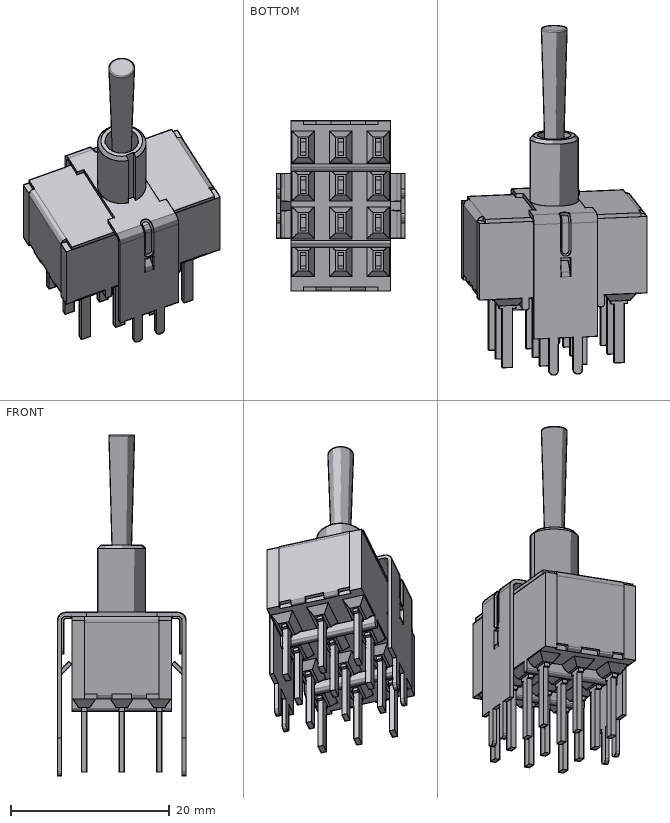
import cadquery as cq
import math

TOTAL_HEIGHT = 43.15

SHEET = 0.5

CASE_X = 12.6
CASE_Y = 21.6
BASE_BOTTOM = 9.7
CASE_TOP = 20.2
BASE_TOP = CASE_TOP - SHEET
FLAP_X = 9.4
FLAP_BOTTOM = 10.35
FLAP_BEND_RADIUS = 0.78
FOOT_INNER_X = 1.25
FOOT_OUTER_X = 3.15
FOOT_ROUND = SHEET - 0.05

RIB_Y = 4.85
RIB_THICKNESS = 0.9
RIB_BOTTOM = 8.15
RIB_ROUND = 0.4

PIN_PITCH_X = 4.75
PIN_PITCH_Y = 4.8
PIN_ROWS = 4
PIN_ROW_SHIFT = -0.25
PIN_X = 0.7
PIN_Y = 1.3
PIN_BOTTOM = 0.47
SHOULDER_Y = 2.1
SHOULDER_BOTTOM = RIB_BOTTOM
MOUND_TOP_X = 2.85
MOUND_FOOT_X = 1.4
MOUND_TOP_Y = 4.05
MOUND_FOOT_Y = 2.6
MOUND_BOTTOM = 8.65

BRACKET_X = 16.25
BRACKET_Y = 8.2
BRACKET_TOP = CASE_TOP + SHEET
BEND_RADIUS = 2 * SHEET
WAIST_X = 8.98
WAIST_Y = 6.35
LEG_BOTTOM = 4.8
TAB_Y = 1.55
TAB_WIDTH = 1.15

GROOVE_WIDTH = 1.3
GROOVE_DEPTH = 0.3
GROOVE_CHAMFER = 0.2
GROOVE_BOTTOM = 15.4
GROOVE_INNER_X = 6.4

WINDOW_WIDTH = GROOVE_WIDTH
WINDOW_BOTTOM = 12.75
WINDOW_TOP = 15.2
BARB_WIDTH = 1.12
BARB_BEND_RADIUS = 0.78
BARB_LENGTH = 1.73

BUSHING_RADIUS = 3.05
BUSHING_TOP = 29.2
BUSHING_CHAMFER = 0.45
BORE_RADIUS = 4.2 / 2
KEYWAY_WIDTH = 1.05
KEYWAY_FLOOR_X = 2.4

DOME_Z = 22.95
LEVER_NECK_RADIUS = 1.25
LEVER_TIP_RADIUS = 1.65
LEVER_TIP_ROUND = 0.17


def block(size_x, size_y, z_low, z_high, x=0, y=0):
    """Box centred on (x, y) between two heights."""
    return (
        cq.Workplane(origin=(x, y, z_low))
        .rect(size_x, size_y)
        .extrude(z_high - z_low)
    )


def cover_core(inset):
    """Solid filling the flaps and the plate between them, moved inward from the outer sheet face."""
    core = block(FLAP_X, CASE_Y - 2 * inset, FLAP_BOTTOM, CASE_TOP - inset)
    return core.faces(">Z").edges("|X").fillet(FLAP_BEND_RADIUS - inset)


def make_cover():
    """Top plate with a flap bent down over each end; the plate stops short at the four corners."""
    plate = block(CASE_X, CASE_Y - 2 * FLAP_BEND_RADIUS, BASE_TOP, CASE_TOP)
    cover = plate.union(cover_core(0).cut(cover_core(SHEET)))
    foot_width = FOOT_OUTER_X - FOOT_INNER_X
    foot_x = (FOOT_OUTER_X + FOOT_INNER_X) / 2
    for side_y in (-1, 1):
        outer_edge = "<Y" if side_y < 0 else ">Y"
        foot_y = side_y * (CASE_Y - SHEET) / 2
        for side_x in (-1, 1):
            foot = block(foot_width, SHEET, BASE_BOTTOM, FLAP_BOTTOM, side_x * foot_x, foot_y)
            cover = cover.union(foot.faces("<Z").edges(outer_edge).fillet(FOOT_ROUND))
    return cover


def make_rib(y):
    rib = block(CASE_X, RIB_THICKNESS, RIB_BOTTOM, BASE_BOTTOM, y=y)
    return rib.faces("<Z").edges("|X").fillet(RIB_ROUND)


def make_terminal(x, y):
    """Blade with a shoulder, coming out of a tapered mound under the base."""
    mound = (
        cq.Workplane(origin=(x, y, BASE_BOTTOM))
        .rect(MOUND_TOP_X, MOUND_TOP_Y)
        .workplane(offset=MOUND_BOTTOM - BASE_BOTTOM)
        .rect(MOUND_FOOT_X, MOUND_FOOT_Y)
        .loft(ruled=True)
    )
    shoulder = block(PIN_X, SHOULDER_Y, SHOULDER_BOTTOM, BASE_BOTTOM, x, y)
    blade = block(PIN_X, PIN_Y, PIN_BOTTOM, BASE_BOTTOM, x, y)
    return mound.union(shoulder).union(blade)


def make_base():
    """Molded base with pockets for the cover flaps, two ribs and the terminals."""
    base = block(CASE_X, CASE_Y, BASE_BOTTOM, BASE_TOP)
    for side in (-1, 1):
        base = base.cut(block(FLAP_X, SHEET, BASE_BOTTOM, BASE_TOP, y=side * (CASE_Y - SHEET) / 2))
        base = base.union(make_rib(side * RIB_Y))
    base = base.cut(make_cover())
    for row in range(PIN_ROWS):
        y = PIN_ROW_SHIFT + (row - (PIN_ROWS - 1) / 2) * PIN_PITCH_Y
        for column in (-1, 0, 1):
            base = base.union(make_terminal(column * PIN_PITCH_X, y))
    return base


def bracket_core(inset):
    """Solid filling the bracket outline in XZ, moved inward from the outer sheet face."""
    core = block(BRACKET_X - 2 * inset, BRACKET_Y, LEG_BOTTOM, BRACKET_TOP - inset)
    return core.faces(">Z").edges("|Y").fillet(BEND_RADIUS - inset)


def groove_area():
    """Volume over both grooves, with a round end on the leg and on the top plate."""
    radius = GROOVE_WIDTH / 2
    leg_end_z = GROOVE_BOTTOM + radius
    plate_end_x = GROOVE_INNER_X + radius
    along_leg = block(BRACKET_X, GROOVE_WIDTH, leg_end_z, BRACKET_TOP)
    round_leg_end = (
        cq.Workplane("YZ").center(0, leg_end_z).circle(radius).extrude(BRACKET_X / 2, both=True)
    )
    along_leg = along_leg.union(round_leg_end)
    opening = block(2 * plate_end_x, GROOVE_WIDTH, LEG_BOTTOM, BRACKET_TOP)
    round_plate_ends = (
        cq.Workplane(origin=(0, 0, LEG_BOTTOM))
        .pushPoints([(-plate_end_x, 0), (plate_end_x, 0)])
        .circle(radius)
        .extrude(BRACKET_TOP - LEG_BOTTOM)
    )
    return along_leg.cut(opening.cut(round_plate_ends))


def groove_floor_edges():
    """Selector for the edges around the groove floors, without the seams that cross them."""
    margin = 0.005
    half_x = BRACKET_X / 2 - GROOVE_DEPTH + margin
    floor_top = BRACKET_TOP - GROOVE_DEPTH + margin
    inside_floor = cq.selectors.BoxSelector(
        (-half_x, -BRACKET_Y, LEG_BOTTOM), (half_x, BRACKET_Y, floor_top), boundingbox=True
    )
    return inside_floor - cq.selectors.ParallelDirSelector(cq.Vector(0, 1, 0))


def make_barb():
    """Barb on the +X leg: a bend out of the leg, then a straight strip inward at 45 degrees."""
    outer_x = BRACKET_X / 2
    bend_x = outer_x - BARB_BEND_RADIUS
    half_turn = math.radians(22.5)
    full_turn = math.radians(45)

    def on_bend(radius, angle):
        return (bend_x + radius * math.cos(angle), WINDOW_BOTTOM + radius * math.sin(angle))

    def strip_end(radius):
        x, z = on_bend(radius, full_turn)
        reach = BARB_LENGTH * math.sqrt(0.5)
        return (x - reach, z + reach)

    inner_radius = BARB_BEND_RADIUS - SHEET
    return (
        cq.Workplane("XZ")
        .moveTo(outer_x, WINDOW_BOTTOM)
        .threePointArc(on_bend(BARB_BEND_RADIUS, half_turn), on_bend(BARB_BEND_RADIUS, full_turn))
        .lineTo(*strip_end(BARB_BEND_RADIUS))
        .lineTo(*strip_end(inner_radius))
        .lineTo(*on_bend(inner_radius, full_turn))
        .threePointArc(on_bend(inner_radius, half_turn), on_bend(inner_radius, 0))
        .close()
        .extrude(BARB_WIDTH / 2, both=True)
    )


def make_bracket():
    bracket = bracket_core(0).cut(bracket_core(SHEET))

    waist_cut_y = (BRACKET_Y - WAIST_Y) / 2
    for side in (-1, 1):
        y = side * (BRACKET_Y - waist_cut_y) / 2
        bracket = bracket.cut(block(WAIST_X, waist_cut_y, CASE_TOP, BRACKET_TOP, y=y))

    area = groove_area()
    groove = area.cut(bracket_core(GROOVE_DEPTH))
    groove = groove.edges(groove_floor_edges()).chamfer(GROOVE_CHAMFER)
    bump = area.intersect(bracket_core(SHEET)).cut(bracket_core(SHEET + GROOVE_DEPTH))
    bracket = bracket.union(bump).cut(groove)

    bracket = bracket.cut(block(BRACKET_X, WINDOW_WIDTH, WINDOW_BOTTOM, WINDOW_TOP))
    barb = make_barb()
    bracket = bracket.union(barb).union(barb.mirror("YZ"))

    tab_round = TAB_WIDTH / 2 - 0.05
    for side_x in (-1, 1):
        tab_x = side_x * (BRACKET_X - SHEET) / 2
        for side_y in (-1, 1):
            tab = block(SHEET, TAB_WIDTH, 0, LEG_BOTTOM, tab_x, side_y * TAB_Y)
            bracket = bracket.union(tab.faces("<Z").edges("|X").fillet(tab_round))
    return bracket


def make_bushing():
    """Tube with a chamfered mouth, a keyway on its +X side and a floor under the lever dome."""
    keyway_depth = BUSHING_RADIUS - KEYWAY_FLOOR_X
    keyway_x = KEYWAY_FLOOR_X + keyway_depth / 2
    keyway = block(keyway_depth, KEYWAY_WIDTH, BRACKET_TOP, BUSHING_TOP, keyway_x)
    bore = cq.Workplane(origin=(0, 0, DOME_Z)).circle(BORE_RADIUS).extrude(BUSHING_TOP - DOME_Z)
    return (
        cq.Workplane(origin=(0, 0, BRACKET_TOP))
        .circle(BUSHING_RADIUS)
        .extrude(BUSHING_TOP - BRACKET_TOP)
        .faces(">Z")
        .chamfer(BUSHING_CHAMFER)
        .cut(keyway)
        .cut(bore)
    )


def make_lever():
    """Tapered handle, widest at the tip, rising from a dome that fills the bore floor."""
    taper = (LEVER_TIP_RADIUS - LEVER_NECK_RADIUS) / (TOTAL_HEIGHT - BUSHING_TOP)
    root_radius = LEVER_NECK_RADIUS - taper * (BUSHING_TOP - DOME_Z)
    arc_middle = BORE_RADIUS * math.sqrt(0.5)
    dome = (
        cq.Workplane("XZ")
        .moveTo(0, DOME_Z)
        .lineTo(BORE_RADIUS, DOME_Z)
        .threePointArc((arc_middle, DOME_Z + arc_middle), (0, DOME_Z + BORE_RADIUS))
        .close()
        .revolve(360, (0, 0, 0), (0, 1, 0))
    )
    handle = (
        cq.Workplane("XZ")
        .moveTo(0, DOME_Z)
        .lineTo(root_radius, DOME_Z)
        .lineTo(LEVER_TIP_RADIUS, TOTAL_HEIGHT)
        .lineTo(0, TOTAL_HEIGHT)
        .close()
        .revolve(360, (0, 0, 0), (0, 1, 0))
        .faces(">Z")
        .edges()
        .fillet(LEVER_TIP_ROUND)
    )
    return dome.union(handle)


def make_frame():
    return make_cover().union(make_bracket()).union(make_bushing()).union(make_lever())


base = make_base()
frame = make_frame()
result = cq.Compound.makeCompound([base.solids().val(), frame.solids().val()])